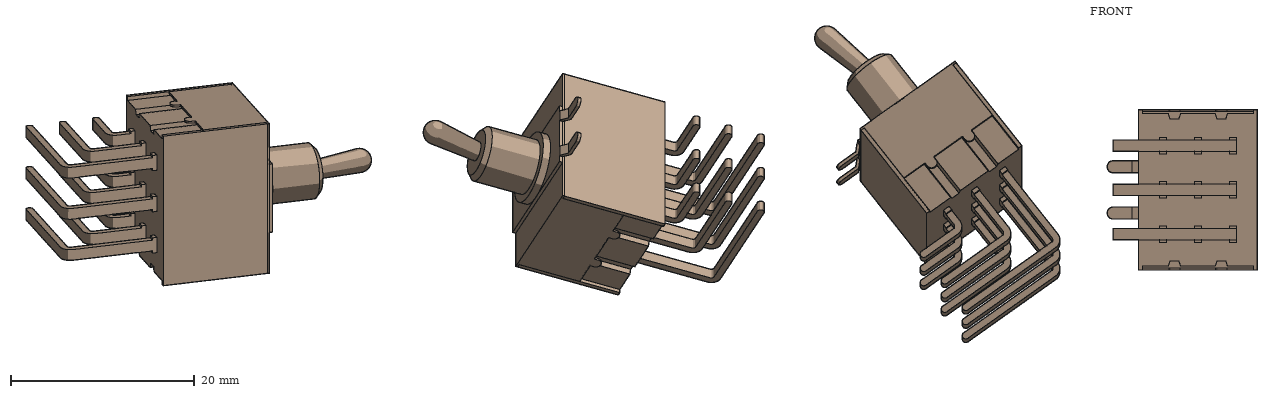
import cadquery as cq
import math


OVERALL_LENGTH = 37.1

HOUSING_WIDTH = 13.0
HOUSING_HEIGHT = 17.5
HOUSING_LENGTH = 11.95
SIDE_WALL = 0.45
CHANNEL_DEPTH = 0.45
GROOVE_X = 2.55
GROOVE_TOP_WIDTH = 1.35
GROOVE_FLOOR_WIDTH = 0.95
GROOVE_DEPTH = 0.55

PIN_PITCH = 3.82
PIN_ROW_PITCH = 4.82
PIN_THICKNESS = 0.78
PIN_WIDTH = 1.25
PIN_BEND_RADIUS = 0.35
PIN_TIP_X = -9.28
PIN_TIP_LENGTH = 0.5
FIRST_PIN_REACH = 2.67
PIN_COLUMNS = 3
PIN_ROWS = 3
SHOULDER_WIDTH = 1.78
SHOULDER_LENGTH = 0.5

SHEET = 0.22
FRAME_FRONT_Y = 4.75
TONGUE_WIDTH = 1.22
TONGUE_LENGTH = 1.0

BRACKET_THICKNESS = 0.37
BRACKET_HEIGHT = 7.98
TAB_TIP_X = -9.9
TAB_WIDTH = 1.35
TAB_Z = 2.52
TAB_DROP = 0.7
TAB_SHOULDER = 0.1

FLANGE_DIAMETER = 7.98
FLANGE_LENGTH = 0.85
BUSHING_DIAMETER = 6.2
BUSHING_LENGTH = 6.25
BUSHING_CHAMFER = 0.55

LEVER_TILT = 12.0
LEVER_BASE_DIAMETER = 2.05
LEVER_TIP_RADIUS = 1.35
LEVER_BASE_DEPTH = 0.8

HALF_WIDTH = HOUSING_WIDTH / 2
HALF_HEIGHT = HOUSING_HEIGHT / 2
CHANNEL_WIDTH = HOUSING_WIDTH - 2 * SIDE_WALL
FRAME_BACK_Y = HOUSING_LENGTH + SHEET
BRACKET_BACK_Y = FRAME_BACK_Y + BRACKET_THICKNESS
BUSHING_TOP_Y = BRACKET_BACK_Y + FLANGE_LENGTH + BUSHING_LENGTH
LONGEST_PIN_REACH = FIRST_PIN_REACH + (PIN_COLUMNS - 1) * PIN_PITCH
LEVER_TOP_Y = OVERALL_LENGTH - LONGEST_PIN_REACH - PIN_THICKNESS / 2
LEVER_BASE_Y = BUSHING_TOP_Y - LEVER_BASE_DEPTH


def box_between(x_range, y_range, z_range):
    """Box spanning the given (low, high) ranges."""
    sizes = [high - low for low, high in (x_range, y_range, z_range)]
    return cq.Workplane("XY").box(*sizes, centered=False).translate((x_range[0], y_range[0], z_range[0]))


def with_mirror(shape):
    """A shape near the upper face together with its mirror image near the lower face."""
    return shape.union(shape.mirror("XY"))


def channel_cut():
    """Flat channel along the upper face, with two tapered grooves in its floor."""
    half_channel = CHANNEL_WIDTH / 2
    floor_z = HALF_HEIGHT - CHANNEL_DEPTH
    cut = box_between((-half_channel, half_channel), (0, HOUSING_LENGTH), (floor_z, HALF_HEIGHT))
    for x in (-GROOVE_X, GROOVE_X):
        groove = (
            cq.Workplane("XZ")
            .moveTo(x - GROOVE_TOP_WIDTH / 2, floor_z)
            .lineTo(x - GROOVE_FLOOR_WIDTH / 2, floor_z - GROOVE_DEPTH)
            .lineTo(x + GROOVE_FLOOR_WIDTH / 2, floor_z - GROOVE_DEPTH)
            .lineTo(x + GROOVE_TOP_WIDTH / 2, floor_z)
            .close()
            .extrude(-HOUSING_LENGTH)
        )
        cut = cut.union(groove)
    return cut


def terminal(pin_x, reach, z):
    """Flat pin that leaves the housing, bends toward -X and ends in a rounded tip."""
    half = PIN_THICKNESS / 2
    outer_radius = PIN_BEND_RADIUS + PIN_THICKNESS
    inner_x = pin_x - half
    outer_x = pin_x + half
    near_y = -reach + half
    far_y = -reach - half
    bend_x = inner_x - PIN_BEND_RADIUS
    bend_y = near_y + PIN_BEND_RADIUS
    diagonal = math.sqrt(0.5)
    inner_mid = (bend_x + PIN_BEND_RADIUS * diagonal, bend_y - PIN_BEND_RADIUS * diagonal)
    outer_mid = (bend_x + outer_radius * diagonal, bend_y - outer_radius * diagonal)
    tip_start_x = PIN_TIP_X + PIN_TIP_LENGTH
    leg = (
        cq.Workplane("XY", origin=(0, 0, z - PIN_WIDTH / 2))
        .moveTo(outer_x, 0)
        .lineTo(outer_x, bend_y)
        .threePointArc(outer_mid, (bend_x, far_y))
        .lineTo(tip_start_x, far_y)
        .threePointArc((PIN_TIP_X, -reach), (tip_start_x, near_y))
        .lineTo(bend_x, near_y)
        .threePointArc(inner_mid, (inner_x, bend_y))
        .lineTo(inner_x, 0)
        .close()
        .extrude(PIN_WIDTH)
    )
    half_shoulder = SHOULDER_WIDTH / 2
    shoulder = box_between((inner_x, outer_x), (-SHOULDER_LENGTH, 0), (z - half_shoulder, z + half_shoulder))
    return leg.union(shoulder)


def make_housing():
    """Housing block and the nine terminals that are one piece with it."""
    block = box_between((-HALF_WIDTH, HALF_WIDTH), (0, HOUSING_LENGTH), (-HALF_HEIGHT, HALF_HEIGHT))
    housing = block.cut(with_mirror(channel_cut()))
    for column in range(PIN_COLUMNS):
        pin_x = (column - (PIN_COLUMNS - 1) / 2) * PIN_PITCH
        reach = FIRST_PIN_REACH + column * PIN_PITCH
        for row in range(PIN_ROWS):
            pin_z = (row - (PIN_ROWS - 1) / 2) * PIN_ROW_PITCH
            housing = housing.union(terminal(pin_x, reach, pin_z))
    return housing


def make_frame():
    """U-shaped sheet: a back plate, and an upper and a lower leaf, each with two rounded tongues."""
    half_channel = CHANNEL_WIDTH / 2
    leaf_z = (HALF_HEIGHT - SHEET, HALF_HEIGHT)
    leaf = box_between((-half_channel, half_channel), (FRAME_FRONT_Y, FRAME_BACK_Y), leaf_z)
    half_tongue = TONGUE_WIDTH / 2
    round_start_y = FRAME_FRONT_Y - TONGUE_LENGTH + half_tongue
    for x in (-GROOVE_X, GROOVE_X):
        tongue = (
            cq.Workplane("XY", origin=(0, 0, HALF_HEIGHT - SHEET))
            .moveTo(x - half_tongue, FRAME_FRONT_Y)
            .lineTo(x - half_tongue, round_start_y)
            .threePointArc((x, FRAME_FRONT_Y - TONGUE_LENGTH), (x + half_tongue, round_start_y))
            .lineTo(x + half_tongue, FRAME_FRONT_Y)
            .close()
            .extrude(SHEET)
        )
        leaf = leaf.union(tongue)
    back_y = (HOUSING_LENGTH, FRAME_BACK_Y)
    back = box_between((-HALF_WIDTH, HALF_WIDTH), back_y, (-HALF_HEIGHT, HALF_HEIGHT))
    return back.union(with_mirror(leaf))


def bracket_tab(z):
    """Offset tab on the -X edge of the bracket, with a semicircular end."""
    shoulder_x = -HALF_WIDTH - TAB_SHOULDER
    drop_x = shoulder_x - TAB_DROP
    tab_top_y = BRACKET_BACK_Y - TAB_DROP
    round_center_x = TAB_TIP_X + TAB_WIDTH / 2
    strip = (
        cq.Workplane("XY", origin=(0, 0, z - TAB_WIDTH / 2))
        .moveTo(-HALF_WIDTH, BRACKET_BACK_Y)
        .lineTo(shoulder_x, BRACKET_BACK_Y)
        .lineTo(drop_x, tab_top_y)
        .lineTo(round_center_x, tab_top_y)
        .lineTo(round_center_x, tab_top_y - BRACKET_THICKNESS)
        .lineTo(drop_x + TAB_SHOULDER, tab_top_y - BRACKET_THICKNESS)
        .lineTo(-HALF_WIDTH, FRAME_BACK_Y)
        .close()
        .extrude(TAB_WIDTH)
    )
    tip_plane = cq.Workplane("XZ", origin=(round_center_x, tab_top_y, z))
    round_tip = tip_plane.circle(TAB_WIDTH / 2).extrude(BRACKET_THICKNESS)
    return strip.union(round_tip)


def make_bracket():
    """Flat plate behind the frame, with two mounting tabs."""
    half = BRACKET_HEIGHT / 2
    bracket = box_between((-HALF_WIDTH, HALF_WIDTH), (FRAME_BACK_Y, BRACKET_BACK_Y), (-half, half))
    for z in (-TAB_Z, TAB_Z):
        bracket = bracket.union(bracket_tab(z))
    return bracket


def make_lever():
    """Tapered lever with a hemispherical end, tilted toward -X about its base."""
    tilt = math.radians(LEVER_TILT)
    taper_length = (LEVER_TOP_Y - LEVER_TIP_RADIUS - LEVER_BASE_Y) / math.cos(tilt)
    diagonal = LEVER_TIP_RADIUS * math.sqrt(0.5)
    upright = (
        cq.Workplane("XY")
        .moveTo(0, 0)
        .lineTo(LEVER_BASE_DIAMETER / 2, 0)
        .lineTo(LEVER_TIP_RADIUS, taper_length)
        .threePointArc((diagonal, taper_length + diagonal), (0, taper_length + LEVER_TIP_RADIUS))
        .close()
        .revolve(360, (0, 0, 0), (0, 1, 0))
    )
    return upright.rotate((0, 0, 0), (0, 0, 1), LEVER_TILT).translate((0, LEVER_BASE_Y, 0))


def make_bushing(lever):
    """Flanged, chamfered bushing with a recess that matches the lever."""
    flange_plane = cq.Workplane("XZ", origin=(0, BRACKET_BACK_Y, 0))
    flange = flange_plane.circle(FLANGE_DIAMETER / 2).extrude(-FLANGE_LENGTH)
    barrel = (
        cq.Workplane("XZ", origin=(0, BRACKET_BACK_Y + FLANGE_LENGTH, 0))
        .circle(BUSHING_DIAMETER / 2)
        .extrude(-BUSHING_LENGTH)
        .faces(">Y")
        .chamfer(BUSHING_CHAMFER)
    )
    return flange.union(barrel).cut(lever)


housing = make_housing()
frame = make_frame()
bracket = make_bracket()
lever = make_lever()
bushing = make_bushing(lever)

result = cq.Compound.makeCompound(
    [housing.val(), frame.val(), bracket.val(), bushing.val(), lever.val()]
)